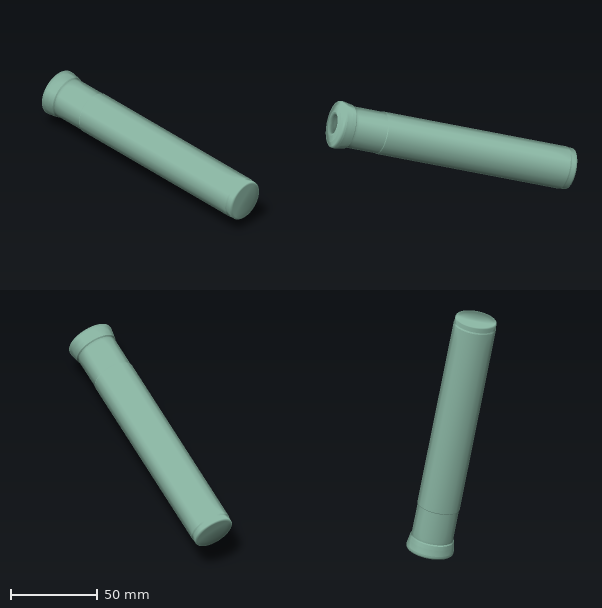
import cadquery as cq

LENGTH = 150.0

HEAD_RADIUS = 14.0
FACE_RADIUS = 10.6
FACE_X = 0.5
RIM_INNER_RADIUS = 12.9
RIM_INNER_X = 1.0
RIM_MID_RADIUS = 13.6
RIM_MID_X = 1.5
RIM_START_X = 2.4
RIM_END_X = 3.3
FLARE_MID_X = 6.9
FLARE_MID_RADIUS = 13.4
FLARE_END_X = 9.3
FLARE_END_RADIUS = 12.9
HEAD_END_X = 9.9

RECESS_LIP_RADIUS = 7.0
RECESS_MOUTH_RADIUS = 6.2
RECESS_MOUTH_X = 0.3
RECESS_WALL_RADIUS = 5.1
RECESS_WALL_X = 1.4
RECESS_FLOOR_RADIUS = 3.9
RECESS_DEPTH = 1.6

RELIEF_RADIUS = 24.5 / 2
SHAFT_RADIUS = 25.0 / 2
FRONT_STEP_X = 29.5
FRONT_STEP_LENGTH = 0.5
TAIL_LENGTH = 3.8
TAIL_STEP_LENGTH = 0.9
TAIL_FILLET = 1.2


def revolve_about_x(outline):
    """Turn a closed half-section in the XY plane about the X axis."""
    return outline.close().revolve(360, (0, 0, 0), (1, 0, 0))


def make_head():
    """Flared head with a dished recess, ending flat where it meets the shaft."""
    outline = (
        cq.Workplane("XY")
        .moveTo(RECESS_DEPTH, 0)
        .lineTo(RECESS_DEPTH, RECESS_FLOOR_RADIUS)
        .lineTo(RECESS_WALL_X, RECESS_WALL_RADIUS)
        .lineTo(RECESS_MOUTH_X, RECESS_MOUTH_RADIUS)
        .lineTo(0, RECESS_LIP_RADIUS)
        .lineTo(FACE_X, FACE_RADIUS)
        .lineTo(RIM_INNER_X, RIM_INNER_RADIUS)
        .threePointArc((RIM_MID_X, RIM_MID_RADIUS), (RIM_START_X, HEAD_RADIUS))
        .lineTo(RIM_END_X, HEAD_RADIUS)
        .lineTo(FLARE_MID_X, FLARE_MID_RADIUS)
        .lineTo(FLARE_END_X, FLARE_END_RADIUS)
        .lineTo(HEAD_END_X, RELIEF_RADIUS)
        .lineTo(HEAD_END_X, 0)
    )
    return revolve_about_x(outline)


def make_shaft():
    """Long shaft with relieved ends and a rounded tail edge."""
    tail_start_x = LENGTH - TAIL_LENGTH
    outline = (
        cq.Workplane("XY")
        .moveTo(HEAD_END_X, 0)
        .lineTo(HEAD_END_X, RELIEF_RADIUS)
        .lineTo(FRONT_STEP_X, RELIEF_RADIUS)
        .lineTo(FRONT_STEP_X + FRONT_STEP_LENGTH, SHAFT_RADIUS)
        .lineTo(tail_start_x - TAIL_STEP_LENGTH, SHAFT_RADIUS)
        .lineTo(tail_start_x, RELIEF_RADIUS)
        .lineTo(LENGTH, RELIEF_RADIUS)
        .lineTo(LENGTH, 0)
    )
    return revolve_about_x(outline).faces(">X").edges().fillet(TAIL_FILLET)


head = make_head()
shaft = make_shaft()
result = cq.Compound.makeCompound([head.val(), shaft.val()])